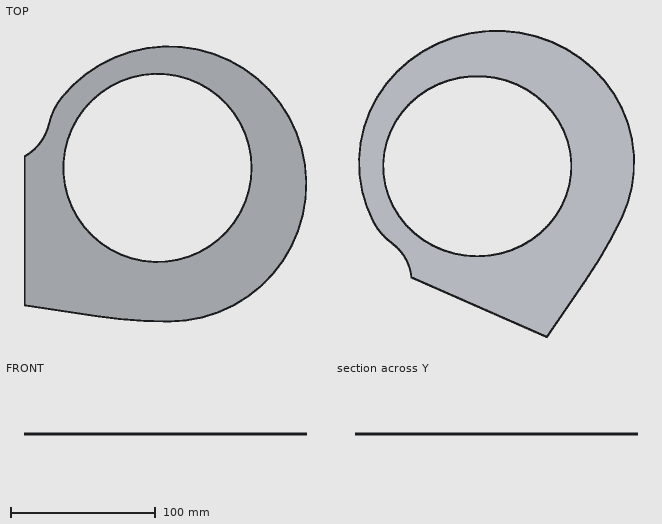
import cadquery as cq
import math

length = 195.0
thickness = 1.0
rim_diameter = 190.5
rim_radius = rim_diameter / 2

left_x = rim_radius - length
left_top_y = 19.1
left_bottom_y = -84.0

neck_start_angle = math.radians(141)
neck_middle = (-82.9, 41.7)

blend_tangent_length = 25.4

hole_diameter = 130.0
hole_center = (-7.8, 11.1)


def rim_point(angle):
    return (rim_radius * math.cos(angle), rim_radius * math.sin(angle))


def lower_blend_start():
    """Point where the sloped lower line meets its blend arc."""
    run = -blend_tangent_length - left_x
    drop = left_bottom_y + rim_radius
    slope_length = math.hypot(run, drop)
    fraction = 1 - blend_tangent_length / slope_length
    return (left_x + fraction * run, left_bottom_y - fraction * drop)


def plate():
    return (
        cq.Workplane("XY")
        .moveTo(left_x, left_top_y)
        .lineTo(left_x, left_bottom_y)
        .lineTo(*lower_blend_start())
        .tangentArcPoint((0, -rim_radius), relative=False)
        .threePointArc((rim_radius, 0), rim_point(neck_start_angle))
        .tangentArcPoint(neck_middle, relative=False)
        .tangentArcPoint((left_x, left_top_y), relative=False)
        .close()
        .extrude(thickness)
    )


def opening():
    return cq.Workplane("XY").center(*hole_center).circle(hole_diameter / 2).extrude(thickness)


result = plate().cut(opening())